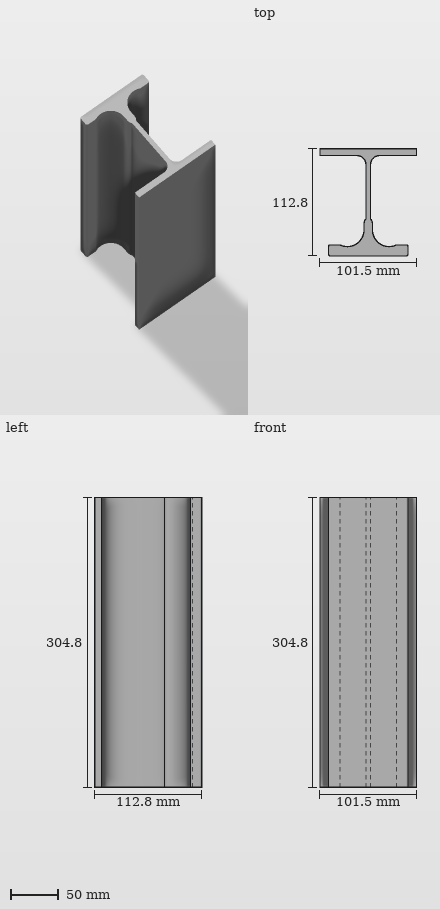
import cadquery as cq
import math

length = 304.8
depth = 112.8
flange_width = 101.5
foot_width = 83.8

flange_thickness = 7.3
web_thickness = 5.2
flange_fillet = 9.0

stem_thickness = 9.0
shoulder_base = 33.8
shoulder_radius = 8.0

foot_height = 12.0
foot_edge_radius = 2.0
groove_radius = 17.5
groove_center_y = 27.5

flange_half = flange_width / 2
foot_half = foot_width / 2
web_half = web_thickness / 2
stem_half = stem_thickness / 2
flange_underside = depth - flange_thickness
groove_center_x = stem_half + groove_radius
shoulder_center_x = stem_half - shoulder_radius


def on_circle(center_x, center_y, radius, angle):
    """Point on a circle at an angle in radians from +X."""
    return center_x + radius * math.cos(angle), center_y + radius * math.sin(angle)


def half_profile():
    """Outline of the +X half of the section, closed along the YZ plane."""
    groove_end = math.asin((foot_height - groove_center_y) / groove_radius)
    groove_middle = (groove_end - math.pi) / 2
    shoulder_end = math.acos((web_half - shoulder_center_x) / shoulder_radius)

    groove = (groove_center_x, groove_center_y, groove_radius)
    shoulder = (shoulder_center_x, shoulder_base, shoulder_radius)
    fillet = (web_half + flange_fillet, flange_underside - flange_fillet, flange_fillet)
    lower_edge = (foot_half - foot_edge_radius, foot_edge_radius, foot_edge_radius)
    upper_edge = (foot_half - foot_edge_radius, foot_height - foot_edge_radius, foot_edge_radius)

    return (
        cq.Workplane("XY")
        .moveTo(0, 0)
        .lineTo(foot_half - foot_edge_radius, 0)
        .threePointArc(on_circle(*lower_edge, -math.pi / 4), on_circle(*lower_edge, 0))
        .lineTo(foot_half, foot_height - foot_edge_radius)
        .threePointArc(on_circle(*upper_edge, math.pi / 4), on_circle(*upper_edge, math.pi / 2))
        .lineTo(*on_circle(*groove, groove_end))
        .threePointArc(on_circle(*groove, groove_middle), (stem_half, groove_center_y))
        .lineTo(stem_half, shoulder_base)
        .threePointArc(on_circle(*shoulder, shoulder_end / 2), on_circle(*shoulder, shoulder_end))
        .lineTo(web_half, flange_underside - flange_fillet)
        .threePointArc(on_circle(*fillet, 3 * math.pi / 4), on_circle(*fillet, math.pi / 2))
        .lineTo(flange_half, flange_underside)
        .lineTo(flange_half, depth)
        .lineTo(0, depth)
        .close()
    )


half_beam = half_profile().extrude(length)
result = half_beam.union(half_beam.mirror("YZ")).clean()